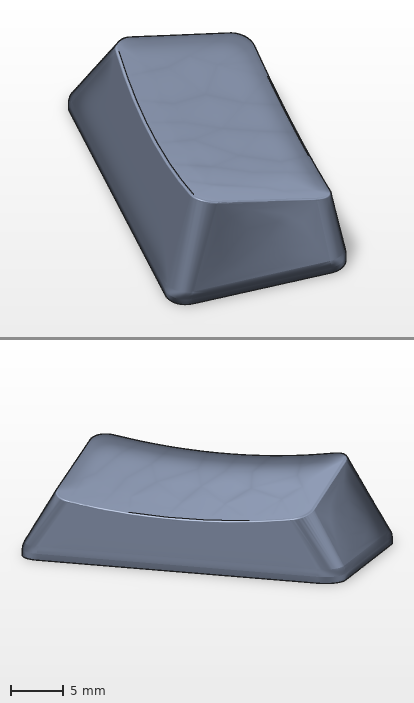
import cadquery as cq
import math

length = 32.45
width = 18.17
base_corner_radius = 2.05
skirt_height = 0.62

shoulder_height = 0.7
side_inset = 0.2
front_inset = 0.23
back_inset = 0.05

top_length = 25.57
top_front_y = -5.13
top_back_y = 8.57
top_corner_radius = 1.95
top_height_at_origin = 8.27
top_tilt = 13.3
scoop_front_depth = 1.53
scoop_back_depth = 1.1
rim_radius = 0.25

trim_allowance = 0.15

scoop_side_overrun = 0.85
scoop_overrun = 3.25
scoop_clearance = 3.25

tilt = math.radians(top_tilt)
half_top = top_length / 2
scoop_half_width = half_top + scoop_side_overrun


def tilted_plane(height):
    """Plane crossing the Z axis at height, with local Y running down the slope."""
    return cq.Plane(
        origin=(0, 0, height),
        xDir=(1, 0, 0),
        normal=(0, math.sin(tilt), math.cos(tilt)),
    )


def rounded_outline(plane, x_size, y_front, y_back, radius):
    """Closed rounded rectangle on the plane, centred in X."""
    middle_y = (y_front + y_back) / 2
    outline = cq.Workplane(plane).center(0, middle_y).rect(x_size, y_back - y_front).val()
    return outline.fillet2D(radius, outline.Vertices())


def shoulder_outline(fraction):
    """Outline part way up the shoulder, drawn in along a parabola from the vertical skirt."""
    bend = fraction**2
    return rounded_outline(
        cq.Plane.XY(origin=(0, 0, skirt_height + fraction * shoulder_height)),
        length - 2 * side_inset * bend,
        -width / 2 + front_inset * bend,
        width / 2 - back_inset * bend,
        base_corner_radius,
    )


def make_body():
    """Vertical skirt, curved shoulder and leaning walls up to the tilted top outline."""
    skirt = cq.Workplane("XY").rect(length, width).extrude(skirt_height)
    skirt = skirt.edges("|Z").fillet(base_corner_radius)

    shoulder_outlines = [shoulder_outline(fraction) for fraction in (0, 0.5, 1)]
    shoulder = cq.Solid.makeLoft(shoulder_outlines)

    top_outline = rounded_outline(
        tilted_plane(top_height_at_origin + trim_allowance),
        top_length,
        top_front_y / math.cos(tilt),
        top_back_y / math.cos(tilt),
        top_corner_radius,
    )
    walls = cq.Solid.makeLoft([shoulder_outlines[-1], top_outline], True)
    return skirt.union(cq.Workplane(shoulder)).union(cq.Workplane(walls))


def scoop_section(y):
    """Closed arc segment across the slope at local y, passing through both long sides of the top."""
    travel = (y - top_front_y) / (top_back_y - top_front_y)
    depth = scoop_front_depth + travel * (scoop_back_depth - scoop_front_depth)
    end_rise = depth * ((scoop_half_width / half_top) ** 2 - 1)
    section = cq.Workplane(cq.Plane(origin=(0, y, 0), xDir=(1, 0, 0), normal=(0, -1, 0)))
    section = section.moveTo(-scoop_half_width, end_rise)
    section = section.threePointArc((0, -depth), (scoop_half_width, end_rise))
    section = section.lineTo(scoop_half_width, scoop_clearance)
    section = section.lineTo(-scoop_half_width, scoop_clearance).close()
    return section.val().moved(tilted_plane(top_height_at_origin).location)


def make_scoop():
    """Trough along the slope that becomes shallower towards the back."""
    sections = [scoop_section(top_front_y - scoop_overrun), scoop_section(top_back_y + scoop_overrun)]
    return cq.Workplane(cq.Solid.makeLoft(sections, True))


body = make_body().cut(make_scoop())
scooped_top = body.faces(cq.selectors.NearestToPointSelector((0, 0, top_height_at_origin)))
result = body.newObject(scooped_top.edges().vals()).fillet(rim_radius)